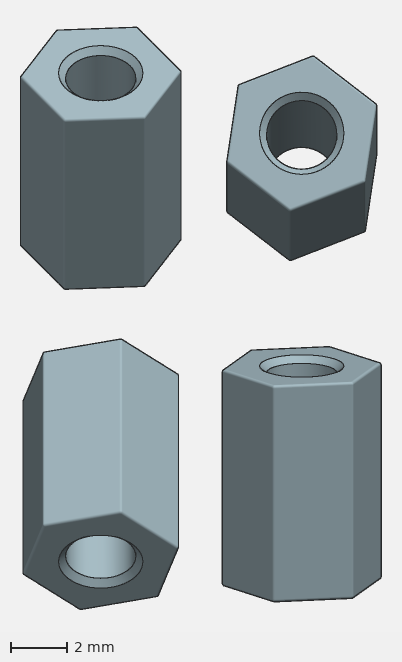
import cadquery as cq
import math

SIDE_COUNT = 6
ACROSS_FLATS = 5.0
HEIGHT = 8.0
BORE_DIAMETER = 2.5
COUNTERSINK_DIAMETER = 3.0
EDGE_RADIUS = 0.1

ACROSS_CORNERS = ACROSS_FLATS / math.cos(math.pi / SIDE_COUNT)
COUNTERSINK_DEPTH = (COUNTERSINK_DIAMETER - BORE_DIAMETER) / 2


def hexagonal_body():
    """Hexagonal prism, centred on the origin, with every edge rounded."""
    prism = cq.Workplane("XY").polygon(SIDE_COUNT, ACROSS_CORNERS).extrude(HEIGHT / 2, both=True)
    return prism.edges().fillet(EDGE_RADIUS)


def bore_with_countersinks():
    """Through bore with a 45 degree countersink at each end, as a revolved cutter."""
    bore_radius = BORE_DIAMETER / 2
    mouth_radius = COUNTERSINK_DIAMETER / 2
    end_z = HEIGHT / 2
    cone_z = end_z - COUNTERSINK_DEPTH
    profile = [
        (0, -end_z),
        (mouth_radius, -end_z),
        (bore_radius, -cone_z),
        (bore_radius, cone_z),
        (mouth_radius, end_z),
        (0, end_z),
    ]
    return cq.Workplane("XZ").polyline(profile).close().revolve(360, (0, 0), (0, 1))


result = hexagonal_body().cut(bore_with_countersinks())